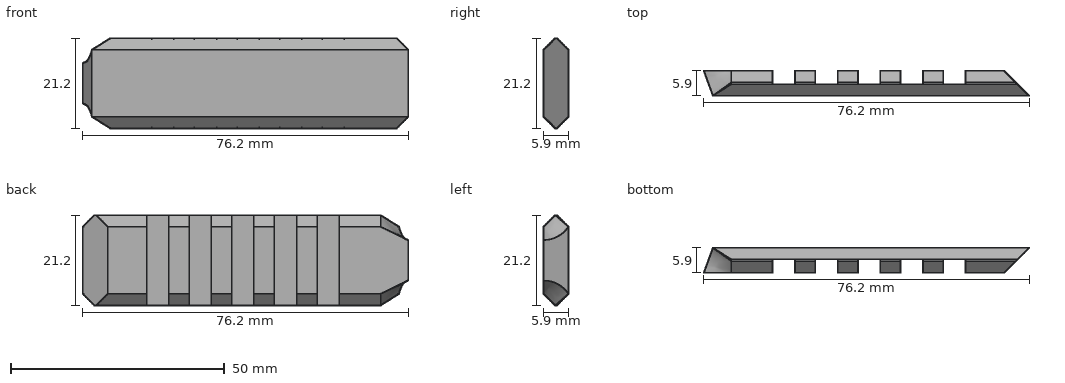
import cadquery as cq
import math

length = 76.2
thickness = 5.9
half_height = 10.6

bevel = 2.75
shoulder_z = half_height - bevel
ridge_front_y = bevel
ridge_back_y = thickness - bevel

left_lean_angle = 20
left_lean = thickness * math.tan(math.radians(left_lean_angle))

hollow_end_x = 6.5
hollow_back_z = 4.7

notch_count = 5
notch_width = 5.2
notch_pitch = 10.0
first_notch_x = 16.15
notch_floor_y = ridge_front_y


def right_end(y, z):
    """Point on the right end, slanted at 45 degrees, for the given depth and height."""
    return cq.Vector(length - y, y, z)


def flat_face(*corners):
    return cq.Face.makeFromWires(cq.Wire.makePolygon(list(corners), close=True))


def hollow_arc(front, back):
    """Arc across the left end, level where it meets the back of the bar."""
    rise = front.z - back.z
    span = thickness
    radius = (span**2 + rise**2) / (2 * rise)
    middle_rise = radius - math.sqrt(radius**2 - (span / 2) ** 2)
    middle = cq.Vector(left_lean / 2, span / 2, back.z + middle_rise)
    return cq.Edge.makeThreePointArc(front, middle, back)


def make_upper_half():
    """Half of the bar above its mid-plane, closed up from its faces."""
    left_front = cq.Vector(left_lean, 0, 0)
    left_back = cq.Vector(0, thickness, 0)
    shoulder = cq.Vector(left_lean, 0, shoulder_z)
    hollow_back = cq.Vector(0, thickness, hollow_back_z)
    ridge_front = cq.Vector(hollow_end_x, ridge_front_y, half_height)
    ridge_back = cq.Vector(hollow_end_x, ridge_back_y, half_height)
    back_shoulder = cq.Vector(hollow_end_x, thickness, shoulder_z)

    right_front = right_end(0, 0)
    right_shoulder = right_end(0, shoulder_z)
    right_ridge_front = right_end(ridge_front_y, half_height)
    right_ridge_back = right_end(ridge_back_y, half_height)
    right_back_shoulder = right_end(thickness, shoulder_z)
    right_back = right_end(thickness, 0)

    arc = hollow_arc(shoulder, hollow_back)
    left_outline = cq.Wire.assembleEdges([
        arc,
        cq.Edge.makeLine(hollow_back, left_back),
        cq.Edge.makeLine(left_back, left_front),
        cq.Edge.makeLine(left_front, shoulder),
    ])
    hollow = cq.Face.makeRuledSurface(arc, cq.Edge.makeLine(ridge_back, back_shoulder))

    faces = [
        flat_face(left_front, right_front, right_back, left_back),
        flat_face(left_front, right_front, right_shoulder, shoulder),
        flat_face(left_back, hollow_back, back_shoulder, right_back_shoulder, right_back),
        flat_face(shoulder, right_shoulder, right_ridge_front, ridge_front),
        flat_face(ridge_front, right_ridge_front, right_ridge_back, ridge_back),
        flat_face(ridge_back, right_ridge_back, right_back_shoulder, back_shoulder),
        flat_face(right_front, right_shoulder, right_ridge_front, right_ridge_back,
                  right_back_shoulder, right_back),
        cq.Face.makeFromWires(left_outline),
        hollow,
        flat_face(shoulder, ridge_front, ridge_back),
    ]
    return cq.Workplane(cq.Solid.makeSolid(cq.Shell.makeShell(faces)))


def make_notches():
    depth = thickness - notch_floor_y
    row = cq.Workplane()
    for index in range(notch_count):
        notch = cq.Workplane().box(
            notch_width, depth, 2 * half_height, centered=(False, False, True)
        )
        row = row.add(notch.translate((first_notch_x + index * notch_pitch, notch_floor_y, 0)))
    return row.combine()


upper_half = make_upper_half()
bar = upper_half.union(upper_half.mirror("XY")).clean()
result = cq.Workplane(bar.cut(make_notches()).solids().val())